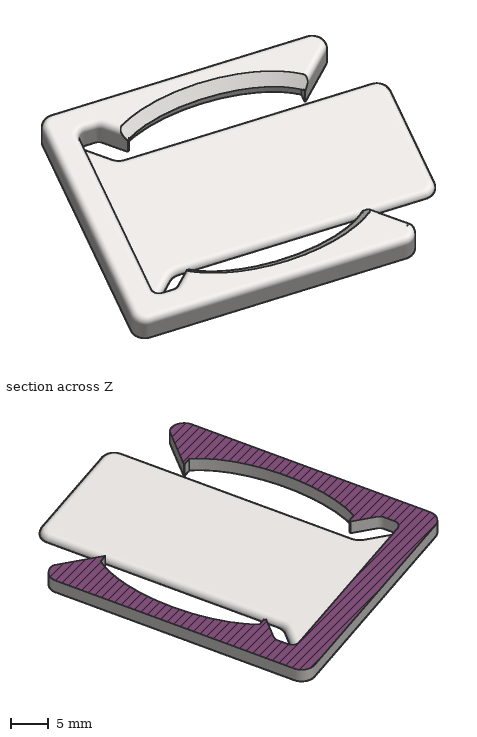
import cadquery as cq

width = 36.4
total_length = 46.0
frame_length = 40.0
frame_height = 4.0
half_width = width / 2
corner_radius = 2.0
edge_round = 0.95

arm_end_x = 15.65
arm_end_radius = 1.0
arm_chord_x = 8.0
slot_half_width = 14.2
slot_floor_y = 4.1
slot_corner_radius = 1.0
flank_foot_y = 7.18
flank_foot_radius = 1.2

scoop_x = 7.8
scoop_y = 22.05
scoop_reach = 6.35
scoop_half_length = 14.25
scoop_chamfer = 1.5
scoop_rim_z = frame_height - scoop_chamfer

relief_depth = 1.0
relief_start_y = 10.4
relief_end_y = 34.8

tongue_height = 1.0
tongue_half_width = 10.0
tongue_root_y = 2.0
flare_start_y = 8.3
tongue_edge_round = tongue_height

select_margin = 0.05


def mirrored_outline(right_side):
    """Close an outline from its right half, listed from the base to the far end."""
    left_side = [(-x, y) for x, y in reversed(right_side)]
    return cq.Workplane("XY").polyline(right_side + left_side).close()


def round_corners(body, points, radius):
    """Round the vertical edges at the given points and at their mirror images."""
    for x, y in points:
        for side in (-1, 1):
            near_point = cq.selectors.BoxSelector(
                (side * x - select_margin, y - select_margin, -frame_height),
                (side * x + select_margin, y + select_margin, 2 * frame_height),
            )
            body = body.edges(near_point).edges("|Z").fillet(radius)
    return body


def make_frame():
    outer_corner = (half_width, 0)
    outer_end = (half_width, frame_length)
    arm_end = (arm_end_x, frame_length)
    upper_tip = (arm_chord_x, frame_length - (arm_end_x - arm_chord_x))
    lower_tip = (arm_chord_x, flank_foot_y + (slot_half_width - arm_chord_x))
    flank_foot = (slot_half_width, flank_foot_y)
    slot_corner = (slot_half_width, slot_floor_y)

    outline = [outer_corner, outer_end, arm_end, upper_tip, lower_tip, flank_foot, slot_corner]
    frame = mirrored_outline(outline).extrude(frame_height)
    frame = round_corners(frame, [outer_corner, outer_end], corner_radius)
    frame = round_corners(frame, [arm_end], arm_end_radius)
    frame = round_corners(frame, [flank_foot], flank_foot_radius)
    frame = round_corners(frame, [slot_corner], slot_corner_radius)

    blank_tips = cq.selectors.BoxSelector(
        (-arm_chord_x - select_margin, lower_tip[1], 0),
        (arm_chord_x + select_margin, upper_tip[1], 2 * frame_height),
    )
    highest = cq.selectors.DirectionMinMaxSelector(cq.Vector(0, 0, 1))
    top_edges = cq.selectors.SubtractSelector(highest, blank_tips)
    return frame.edges(top_edges).fillet(edge_round)


def make_scoop(side):
    bore = (
        cq.Workplane("XY")
        .center(side * scoop_x, scoop_y)
        .ellipse(scoop_reach, scoop_half_length)
        .extrude(frame_height)
    )
    chamfer = (
        cq.Workplane("XY", origin=(side * scoop_x, scoop_y, scoop_rim_z))
        .ellipse(scoop_reach, scoop_half_length)
        .workplane(offset=scoop_chamfer)
        .ellipse(scoop_reach + scoop_chamfer, scoop_half_length + scoop_chamfer)
        .loft()
    )
    return bore.union(chamfer)


def make_relief(side):
    undercut = (
        cq.Workplane("XY")
        .center(side * scoop_x, scoop_y)
        .ellipse(scoop_reach + relief_depth, scoop_half_length + relief_depth)
        .extrude(scoop_rim_z)
    )
    relief_length = relief_end_y - relief_start_y
    limits = cq.Workplane("XY").box(
        2 * width, relief_length, frame_height, centered=(True, False, False)
    ).translate((0, relief_start_y, 0))
    return undercut.intersect(limits)


def make_tongue():
    flare_start = (tongue_half_width, flare_start_y)
    root = (tongue_half_width + flare_start_y - tongue_root_y, tongue_root_y)
    far_corner = (tongue_half_width, total_length)

    tongue = mirrored_outline([root, flare_start, far_corner]).extrude(2 * tongue_height)
    tongue = tongue.translate((0, 0, -tongue_height))
    tongue = round_corners(tongue, [flare_start, far_corner], corner_radius)
    tongue = tongue.faces(">Z").edges().fillet(tongue_edge_round)
    below_base = cq.Workplane("XY").box(
        2 * width, 3 * total_length, 2 * tongue_height, centered=(True, True, False)
    ).translate((0, 0, -2 * tongue_height))
    return tongue.cut(below_base)


frame = make_frame()
for side in (-1, 1):
    frame = frame.cut(make_scoop(side)).cut(make_relief(side))

result = frame.union(make_tongue())